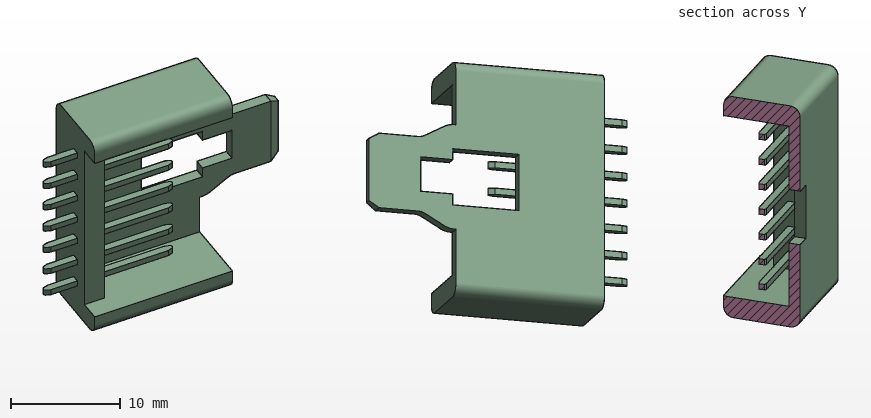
import cadquery as cq


width = 7.5
height = 22.2
body_length = 14.2
corner_radius = 1.0
end_wall = 2.1
back_wall = 1.1
floor_width = 5.5
floor_thickness = end_wall

tab_length = 8.3
tab_root_half = 4.95
tab_half = 3.53
tab_tip_half = 2.95
tip_chamfer_length = 0.98
tip_thickness = 0.72
flare_start = 0.67
flare_end = 3.25
root_radius = 2.0
neck_radius = 1.5

window_start = 8.18
window_step = 14.47
window_end = 17.52
window_half = 2.65
window_narrow_half = 1.63

pin_count = 7
pin_pitch = 2.5
pin_width = 0.72
pin_thickness = 0.6
pin_outside = 3.3
pin_inside = 9.95
pin_taper = 0.57
pin_nose_width = 0.4
pin_nose_length = 0.13

tab_tip = body_length + tab_length
inner_height = height - 2 * end_wall


def box(x_range, y_range, z_half):
    """Block between two X and two Y limits, symmetric about Z = 0."""
    return cq.Workplane("XY").box(
        x_range[1] - x_range[0], y_range[1] - y_range[0], 2 * z_half, centered=(False, False, True)
    ).translate((x_range[0], y_range[0], 0))


def make_housing():
    """Rounded block, open at the +Y end and along the +X side."""
    block = box((0, width), (0, body_length), height / 2).edges("|Y").fillet(corner_radius)
    cavity = box((back_wall, width), (floor_thickness, body_length), inner_height / 2)
    side_opening = box((floor_width, width), (0, body_length), inner_height / 2)
    return block.cut(cavity).cut(side_opening)


def make_tab():
    """Flat tab with a flared root, a tapered tip and a bevel on its inner face."""
    upper_edge = [
        (body_length, tab_root_half),
        (body_length + flare_start, tab_root_half),
        (body_length + flare_end, tab_half),
        (tab_tip - tip_chamfer_length, tab_half),
        (tab_tip, tab_tip_half),
    ]
    lower_edge = [(y, -z) for y, z in reversed(upper_edge)]
    tab = cq.Workplane("YZ").polyline(upper_edge + lower_edge).close().extrude(back_wall)

    bends = [
        (body_length + flare_start, tab_root_half, root_radius),
        (body_length + flare_end, tab_half, neck_radius),
    ]
    for y, z, radius in bends:
        for side in (1, -1):
            corner = cq.selectors.NearestToPointSelector((back_wall / 2, y, side * z))
            tab = tab.edges(corner).fillet(radius)

    bevel = (
        cq.Workplane("XY")
        .workplane(offset=-tab_half)
        .polyline([
            (back_wall, tab_tip - tip_chamfer_length),
            (back_wall, tab_tip),
            (tip_thickness, tab_tip),
        ])
        .close()
        .extrude(2 * tab_half)
    )
    return tab.cut(bevel)


def make_window():
    """Cutter for the wide window and its narrow extension into the tab."""
    wide = box((0, back_wall), (window_start, window_step), window_half)
    narrow = box((0, back_wall), (window_step, window_end), window_narrow_half)
    return wide.union(narrow)


def make_pin(z):
    """Straight pin through the floor, tapered to a round nose at both ends."""
    half = pin_width / 2
    nose = pin_nose_width / 2
    outer_tip = -pin_outside
    inner_tip = pin_inside
    return (
        cq.Workplane("XY")
        .workplane(offset=z - pin_thickness / 2)
        .center(width / 2, 0)
        .moveTo(half, outer_tip + pin_taper)
        .lineTo(half, inner_tip - pin_taper)
        .lineTo(nose, inner_tip - pin_nose_length)
        .threePointArc((0, inner_tip), (-nose, inner_tip - pin_nose_length))
        .lineTo(-half, inner_tip - pin_taper)
        .lineTo(-half, outer_tip + pin_taper)
        .lineTo(-nose, outer_tip + pin_nose_length)
        .threePointArc((0, outer_tip), (nose, outer_tip + pin_nose_length))
        .close()
        .extrude(pin_thickness)
    )


result = make_housing().union(make_tab()).cut(make_window())
for index in range(pin_count):
    result = result.union(make_pin((index - (pin_count - 1) / 2) * pin_pitch))